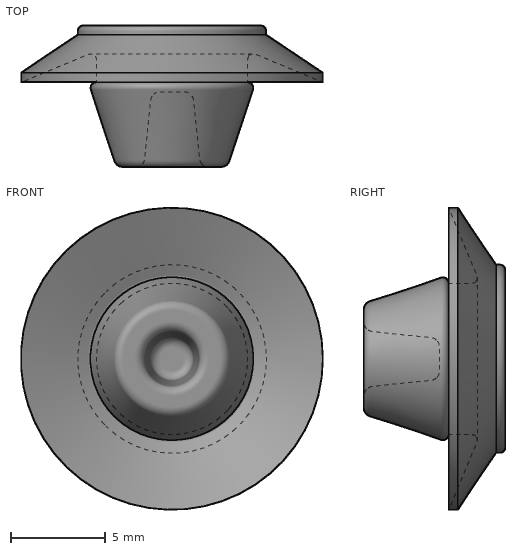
import cadquery as cq

flange_radius = 8.0
back_radius = 5.0
back_band_depth = 0.5
rim_start_depth = 2.51
rim_depth = 3.0
neck_radius = 4.0
dish_depth_at_neck = 1.35
plug_base_radius = 4.43
plug_nose_radius = 2.95
total_depth = 7.5
bore_mouth_radius = 1.5
bore_floor_radius = 1.09
bore_depth = 4.0

small_round = 0.3
large_round = 0.5
edge_tolerance = 0.008


def revolve_about_y(points):
    """Turn a closed (radius, Y) outline about the Y axis."""
    return cq.Workplane("XY").polyline(points).close().revolve(360, (0, 0, 0), (0, 1, 0))


def round_edge(body, radius, depth, size):
    """Fillet the circular edge with the given radius and depth."""
    reach = radius + edge_tolerance
    corner_low = (-reach, -depth - edge_tolerance, -reach)
    corner_high = (reach, -depth + edge_tolerance, reach)
    ring = cq.selectors.BoxSelector(corner_low, corner_high, boundingbox=True)
    inner = radius - edge_tolerance
    smaller_rings = cq.selectors.BoxSelector(
        (-inner, corner_low[1], -inner), (inner, corner_high[1], inner), boundingbox=True
    )
    return body.edges(ring - smaller_rings).fillet(size)


body = revolve_about_y([
    (0, 0),
    (back_radius, 0),
    (back_radius, -back_band_depth),
    (flange_radius, -rim_start_depth),
    (flange_radius, -rim_depth),
    (neck_radius, -dish_depth_at_neck),
    (neck_radius, -rim_depth),
    (plug_base_radius, -rim_depth),
    (plug_nose_radius, -total_depth),
    (0, -total_depth),
])

bore_floor = total_depth - bore_depth
bore = revolve_about_y([
    (0, -total_depth),
    (bore_mouth_radius, -total_depth),
    (bore_floor_radius, -bore_floor),
    (0, -bore_floor),
])
body = body.cut(bore)

rounded_rings = [
    (back_radius, 0, small_round),
    (neck_radius, dish_depth_at_neck, small_round),
    (plug_base_radius, rim_depth, small_round),
    (plug_nose_radius, total_depth, large_round),
    (bore_mouth_radius, total_depth, large_round),
    (bore_floor_radius, bore_floor, large_round),
]
for ring_radius, ring_depth, fillet_size in rounded_rings:
    body = round_edge(body, ring_radius, ring_depth, fillet_size)

result = body